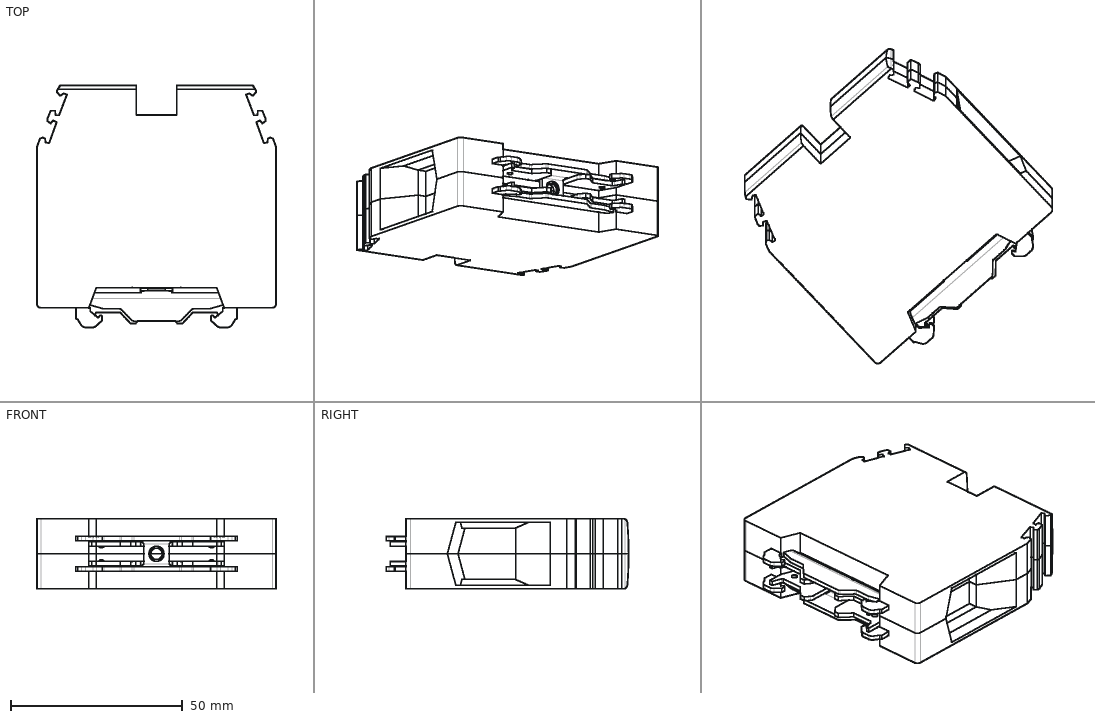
import cadquery as cq


OVERALL_HEIGHT = 70.7

HOUSING_WIDTH = 69.75
HOUSING_DEPTH = 20.5
HALF_WIDTH = HOUSING_WIDTH / 2
HALF_DEPTH = HOUSING_DEPTH / 2
HOUSING_TOP = 64.95
SHOULDER_Y = 46.85
FOOT_CORNER_RADIUS = 1.2

LATCH_EDGE = [
    (-HALF_WIDTH, SHOULDER_Y),
    (-34.0, 49.3), (-33.15, 49.7), (-32.45, 49.3), (-32.3, 48.3), (-31.3, 48.05),
    (-29.1, 54.15), (-30.1, 54.6), (-30.9, 53.7), (-31.8, 54.4), (-31.8, 55.2),
    (-30.9, 57.45), (-29.5, 57.45), (-29.4, 56.2), (-28.4, 56.2),
    (-26.15, 62.1), (-27.1, 62.5), (-28.05, 61.8), (-29.1, 63.0),
    (-28.8, 63.8), (-28.0, HOUSING_TOP),
]

CROWN_HALF_DEPTH = 8.9
CROWN_EDGE_Y = 64.6
CROWN_ROUND_MIDDLE = (64.25, 9.8)
OUTER_FACE_TOP_Y = 63.7

TOP_NOTCH_HALF_WIDTH = 5.9
TOP_NOTCH_FLOOR_Y = 56.25

RECESS_MOUTH_HALF_WIDTH = 19.7
RECESS_WALL_HALF_WIDTH = 17.5
RECESS_WALL_Y = 5.95

POCKET_TOP_Y = 42.05
POCKET_STEP_Y = 31.95
POCKET_DEPTH = 9.2
POCKET_RAMP_DEPTH = 6.5
POCKET_LEDGE_DEPTH = 4.0
POCKET_HALF_OPENING = 9.2
POCKET_HALF_FLOOR = 7.5
POCKET_END_CORNER_Y = 14.55
POCKET_END_TIP_Y = 12.1
POCKET_END_RISE = 3.1

SHEET = 1.35
PLATE_Z = 2.2
SHEET_GAP = 0.2
OUTER_SHEET_Z = PLATE_Z + SHEET + SHEET_GAP

BEND_INNER_RADIUS = 0.85
BEND_OUTER_RADIUS = BEND_INNER_RADIUS + SHEET
BRACKET_HALF_DEPTH = OUTER_SHEET_Z + SHEET
WEB_BACK_Y = 5.0
WEB_FRONT_Y = WEB_BACK_Y - SHEET
FLANGE_BACK_Y = 4.45
WEB_HALF_WIDTH = 3.7
NECK_HALF_WIDTH = 4.45
FLANGE_OUTLINE = [(-19.4, 0.9), (-19.1, 0.8), (-15.4, -0.3), (-10.45, -0.3), (-7.0, -3.8)]
FLANGE_CORNER_RADIUS = 0.7
COLLAR_DIAMETER = 5.2
COLLAR_BACK_Y = 5.65
BORE_DIAMETER = 3.3
COUNTERBORE_DIAMETER = 4.4
COUNTERBORE_DEPTH = 0.6

PLATE_NOTCH_HALF_WIDTH = 4.6
PLATE_EDGE_Y = -1.35
PLATE_TIP_Y = -4.6
BRIDGE_FRONT_Y = 5.7
BRIDGE_BACK_Y = 7.6
BRIDGE_HALF_WIDTH = 7.1
BUMP_X = 16.05
BUMP_Y = 1.9
BUMP_BASE_RADIUS = 0.85
BUMP_TIP_RADIUS = 0.3
BUMP_HEIGHT = 0.4

HOOK_OUTER_X = -23.5
HOOK_INNER_X = -19.4
HOOK_BARB_X = -15.8
HOOK_BOTTOM_Y = HOUSING_TOP - OVERALL_HEIGHT


def recess_half_width(y):
    """Half-width of the foot recess at height y."""
    taper = (RECESS_MOUTH_HALF_WIDTH - RECESS_WALL_HALF_WIDTH) / RECESS_WALL_Y
    return RECESS_MOUTH_HALF_WIDTH - taper * y


def mirrored(points):
    """The points reflected in the plane X = 0, in reverse order."""
    return [(-x, y) for x, y in reversed(points)]


def slab(outline, z_start, z_end):
    """A flat plate with an XY outline between two Z heights."""
    return cq.Workplane("XY").workplane(offset=z_start).polyline(outline).close().extrude(z_end - z_start)


def block(x_half, y_start, y_end, z_start, z_end):
    """A box centred on X = 0."""
    return slab([(-x_half, y_start), (x_half, y_start), (x_half, y_end), (-x_half, y_end)], z_start, z_end)


def side_pocket():
    """Recess in the -X side: a ramp and step at the top, stepped side walls and a V-shaped lower end."""
    face_x = -HALF_WIDTH
    floor_x = face_x + POCKET_DEPTH
    ramp_x = face_x + POCKET_RAMP_DEPTH
    ramp_profile = [
        (face_x, 0), (face_x, POCKET_TOP_Y), (ramp_x, POCKET_STEP_Y), (floor_x, POCKET_STEP_Y), (floor_x, 0),
    ]
    ramped = slab(ramp_profile, -HALF_DEPTH, HALF_DEPTH)

    ledge_x = face_x + POCKET_LEDGE_DEPTH
    upper_wall = [
        (face_x, POCKET_HALF_OPENING), (ledge_x, POCKET_HALF_OPENING),
        (ramp_x, POCKET_HALF_FLOOR), (floor_x, POCKET_HALF_FLOOR),
    ]
    lower_wall = [(x, -z) for x, z in reversed(upper_wall)]
    walled = cq.Workplane("XZ").polyline(upper_wall + lower_wall).close().extrude(-POCKET_TOP_Y)

    def pointed_outline(rise):
        corner_y = POCKET_END_CORNER_Y + rise
        return [
            (POCKET_TOP_Y, -POCKET_HALF_OPENING), (POCKET_TOP_Y, POCKET_HALF_OPENING),
            (corner_y, POCKET_HALF_OPENING), (POCKET_END_TIP_Y + rise, 0), (corner_y, -POCKET_HALF_OPENING),
        ]

    pointed = (
        cq.Workplane("YZ").workplane(offset=face_x).polyline(pointed_outline(0)).close()
        .workplane(offset=POCKET_DEPTH).polyline(pointed_outline(POCKET_END_RISE)).close()
        .loft(ruled=True)
    )
    return ramped.intersect(walled).intersect(pointed)


def make_housing():
    """The full housing block, before it is divided at Z = 0."""
    left = [(-HALF_WIDTH, 0)] + LATCH_EDGE
    body = slab(left + mirrored(left), -HALF_DEPTH, HALF_DEPTH)
    foot_corners = cq.selectors.BoxSelector(
        (-HOUSING_WIDTH, -0.7, -HOUSING_DEPTH), (HOUSING_WIDTH, 0.7, HOUSING_DEPTH))
    body = body.edges("|Z").edges(foot_corners).fillet(FOOT_CORNER_RADIUS)

    round_y, round_z = CROWN_ROUND_MIDDLE
    envelope = (
        cq.Workplane("YZ")
        .moveTo(0, -HALF_DEPTH).lineTo(OUTER_FACE_TOP_Y, -HALF_DEPTH)
        .threePointArc((round_y, -round_z), (CROWN_EDGE_Y, -CROWN_HALF_DEPTH))
        .threePointArc((HOUSING_TOP, 0), (CROWN_EDGE_Y, CROWN_HALF_DEPTH))
        .threePointArc((round_y, round_z), (OUTER_FACE_TOP_Y, HALF_DEPTH))
        .lineTo(0, HALF_DEPTH).close().extrude(HALF_WIDTH, both=True)
    )
    body = body.intersect(envelope)

    body = body.cut(block(TOP_NOTCH_HALF_WIDTH, TOP_NOTCH_FLOOR_Y, HOUSING_TOP, -HALF_DEPTH, HALF_DEPTH))

    recess_left = [(-RECESS_MOUTH_HALF_WIDTH, 0), (-RECESS_WALL_HALF_WIDTH, RECESS_WALL_Y)]
    body = body.cut(slab(recess_left + mirrored(recess_left), -HALF_DEPTH, HALF_DEPTH))

    pocket = side_pocket()
    return body.cut(pocket).cut(pocket.mirror("YZ"))


def make_housing_half(side):
    """One half of the housing; side is +1 above Z = 0 and -1 below. Its slot takes a rail plate's bridge."""
    half_space = block(HALF_WIDTH, 0, HOUSING_TOP, *sorted((0, side * HALF_DEPTH)))
    slot_z = sorted((side * PLATE_Z, side * (PLATE_Z + SHEET)))
    slot = block(BRIDGE_HALF_WIDTH, RECESS_WALL_Y, BRIDGE_BACK_Y, *slot_z)
    return make_housing().intersect(half_space).cut(slot)


def bent_channel():
    """Full-width U channel that opens towards -Y, from which the bracket is cut."""
    front_y = FLANGE_OUTLINE[-1][1]
    outer = block(RECESS_MOUTH_HALF_WIDTH, front_y, WEB_BACK_Y, -BRACKET_HALF_DEPTH, BRACKET_HALF_DEPTH)
    inner = block(RECESS_MOUTH_HALF_WIDTH, front_y, WEB_FRONT_Y, -OUTER_SHEET_Z, OUTER_SHEET_Z)
    outer = outer.edges("|X and >Y").fillet(BEND_OUTER_RADIUS)
    inner = inner.edges("|X and >Y").fillet(BEND_INNER_RADIUS)
    return outer.cut(inner)


def flange_space():
    """The region kept for the two flanges."""
    left = [(-recess_half_width(FLANGE_BACK_Y), FLANGE_BACK_Y)] + FLANGE_OUTLINE
    space = slab(left + mirrored(left), -BRACKET_HALF_DEPTH, BRACKET_HALF_DEPTH)
    for corner_x, corner_y in FLANGE_OUTLINE[-2:]:
        for x in (-corner_x, corner_x):
            corner = cq.selectors.NearestToPointSelector((x, corner_y, 0))
            space = space.edges("|Z").edges(corner).fillet(FLANGE_CORNER_RADIUS)
    return space.cut(block(RECESS_MOUTH_HALF_WIDTH, 0, WEB_BACK_Y, -OUTER_SHEET_Z, OUTER_SHEET_Z))


def web_space():
    """The region kept for the web, which widens at 45 degrees into a neck at each bend."""
    neck_start_z = BRACKET_HALF_DEPTH - BEND_OUTER_RADIUS
    neck_end_z = neck_start_z + NECK_HALF_WIDTH - WEB_HALF_WIDTH
    upper_right = [
        (WEB_HALF_WIDTH, neck_start_z), (NECK_HALF_WIDTH, neck_end_z), (NECK_HALF_WIDTH, BRACKET_HALF_DEPTH),
    ]
    lower_right = [(x, -z) for x, z in reversed(upper_right)]
    right = lower_right + upper_right
    return cq.Workplane("XZ").polyline(right + mirrored(right)).close().extrude(-WEB_BACK_Y)


def web_cylinder(diameter, y_end):
    """A cylinder along Y on the web's axis, from the web's front face to y_end."""
    return cq.Workplane("XZ", origin=(0, WEB_FRONT_Y, 0)).circle(diameter / 2).extrude(WEB_FRONT_Y - y_end)


def make_bracket():
    """U-shaped bracket: two wide flanges joined by a narrow central web with a collared hole."""
    channel = bent_channel()
    bracket = channel.intersect(flange_space()).union(channel.intersect(web_space()))
    bracket = bracket.union(web_cylinder(COLLAR_DIAMETER, COLLAR_BACK_Y))
    bracket = bracket.cut(web_cylinder(BORE_DIAMETER, COLLAR_BACK_Y))
    return bracket.cut(web_cylinder(COUNTERBORE_DIAMETER, WEB_FRONT_Y + COUNTERBORE_DEPTH))


def make_rail_plate():
    """Upper rail plate: two legs and feet, a notch for the bracket web and a bridge held in the housing."""
    left_half = (
        cq.Workplane("XY").workplane(offset=PLATE_Z)
        .moveTo(-RECESS_WALL_HALF_WIDTH, RECESS_WALL_Y)
        .lineTo(-RECESS_MOUTH_HALF_WIDTH, 0)
        .lineTo(-RECESS_MOUTH_HALF_WIDTH, PLATE_TIP_Y).lineTo(-18.8, PLATE_TIP_Y)
        .lineTo(-17.9, -1.85).lineTo(-17.5, PLATE_EDGE_Y)
        .lineTo(-10.6, PLATE_EDGE_Y).lineTo(-7.55, PLATE_TIP_Y).lineTo(-6.1, PLATE_TIP_Y)
        .lineTo(-4.95, -3.1).threePointArc((-4.7, -2.7), (-PLATE_NOTCH_HALF_WIDTH, -2.2))
        .lineTo(-PLATE_NOTCH_HALF_WIDTH, RECESS_WALL_Y)
        .close().extrude(SHEET)
    )
    bridge = block(PLATE_NOTCH_HALF_WIDTH, BRIDGE_FRONT_Y, RECESS_WALL_Y, PLATE_Z, PLATE_Z + SHEET)
    tongue = block(BRIDGE_HALF_WIDTH, RECESS_WALL_Y, BRIDGE_BACK_Y, PLATE_Z, PLATE_Z + SHEET)
    plate = left_half.union(left_half.mirror("YZ")).union(bridge).union(tongue)
    for x in (-BUMP_X, BUMP_X):
        bump = cq.Solid.makeCone(
            BUMP_BASE_RADIUS, BUMP_TIP_RADIUS, BUMP_HEIGHT,
            pnt=cq.Vector(x, BUMP_Y, PLATE_Z), dir=cq.Vector(0, 0, -1))
        plate = plate.union(cq.Workplane(bump))
    return plate


def make_hook():
    """Upper left rail hook, hanging from the housing foot beside the recess."""
    return (
        cq.Workplane("XY").workplane(offset=OUTER_SHEET_Z)
        .moveTo(HOOK_INNER_X, 0).lineTo(HOOK_OUTER_X, 0).lineTo(HOOK_OUTER_X, -3.1)
        .lineTo(-23.0, -3.4).lineTo(-22.0, -5.0)
        .threePointArc((-21.4, -5.5), (-20.7, HOOK_BOTTOM_Y))
        .lineTo(-18.6, HOOK_BOTTOM_Y).threePointArc((-18.0, -5.6), (-17.5, -5.2))
        .lineTo(HOOK_BARB_X, -3.7).lineTo(HOOK_BARB_X, -2.6)
        .threePointArc((-16.1, -2.2), (-16.55, -2.25))
        .lineTo(-17.0, -2.8).lineTo(HOOK_INNER_X, -0.9)
        .close().extrude(SHEET)
    )


housing_halves = [make_housing_half(side) for side in (1, -1)]

bracket = make_bracket()

upper_plate = make_rail_plate()
rail_plates = [upper_plate, upper_plate.mirror("XY")]

upper_left_hook = make_hook()
upper_hooks = [upper_left_hook, upper_left_hook.mirror("YZ")]
rail_hooks = upper_hooks + [hook.mirror("XY") for hook in upper_hooks]

bodies = housing_halves + [bracket] + rail_plates + rail_hooks
result = cq.Compound.makeCompound([solid for body in bodies for solid in body.solids().vals()])